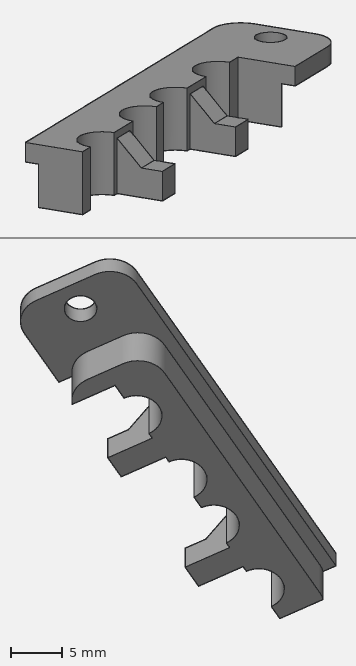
import cadquery as cq

length = 43.0
plate_width = 12.6
height = 6.5
plate_thickness = 2.0
corner_radius = 3.0

body_width = 9.95
body_end_y = 35.05
end_corner_length = 0.9
head_edge_y = 33.05

hole_diameter = 3.2
notch_radius = 2.5
notch_spacing = 9.03

arm_centers = (8.72, 24.25)
arm_width = 2.7
arm_slope_drop = 0.77
arm_flat_drop = 3.45

body_height = height - plate_thickness


def make_plate():
    """Top plate, rounded at the head and square at the other end."""
    return (
        cq.Workplane("XY", origin=(0, 0, body_height))
        .rect(plate_width, length)
        .extrude(plate_thickness)
        .translate((0, length / 2, 0))
        .edges("|Z and >Y")
        .fillet(corner_radius)
    )


def make_body():
    """Narrower body under the plate, cut off square through its rounded end corners."""
    start_y = end_corner_length - corner_radius
    body = (
        cq.Workplane("XY")
        .box(body_width, body_end_y - start_y, body_height, centered=(True, False, False))
        .translate((0, start_y, 0))
        .edges("|Z")
        .fillet(corner_radius)
    )
    overhang = cq.Workplane("XY").box(
        body_width, -start_y, body_height, centered=(True, False, False)
    )
    return body.cut(overhang.translate((0, start_y, 0)))


def make_side_cutout():
    """Removes the +X half of the part below the head."""
    return cq.Workplane("XY").box(plate_width, head_edge_y, height, centered=False)


def make_notch(center_y):
    return cq.Workplane("XY").center(0, center_y).circle(notch_radius).extrude(height)


def make_arm(center_y):
    """Arm whose top slopes down at 45 degrees to a flat end."""
    slope_run = arm_flat_drop - arm_slope_drop
    profile = [
        (-notch_radius / 2, 0),
        (body_width / 2, 0),
        (body_width / 2, height - arm_flat_drop),
        (slope_run, height - arm_flat_drop),
        (0, height - arm_slope_drop),
        (-notch_radius / 2, height - arm_slope_drop),
    ]
    return (
        cq.Workplane("XZ", origin=(0, center_y, 0))
        .polyline(profile)
        .close()
        .extrude(arm_width / 2, both=True)
    )


result = make_plate().union(make_body()).cut(make_side_cutout())

for arm_y in arm_centers:
    for side in (-1, 1):
        result = result.cut(make_notch(arm_y + side * notch_spacing / 2))
    result = result.union(make_arm(arm_y))

screw_hole = (
    cq.Workplane("XY")
    .center(0, length - corner_radius)
    .circle(hole_diameter / 2)
    .extrude(height)
)
result = result.cut(screw_hole)